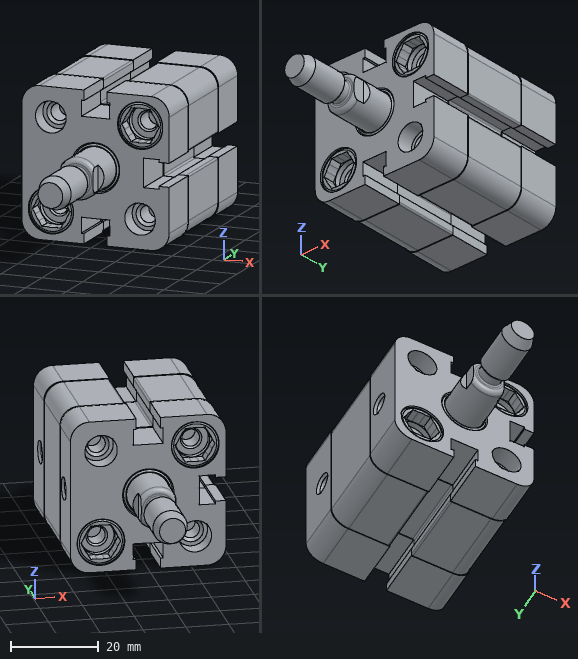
import cadquery as cq
import math


cap_width = 36.3
corner_radius = 4.45
cap_length = 11.8
tube_inset = 0.175
tube_width = cap_width - 2 * tube_inset
tube_length = 18.4
tube_front = cap_length
tube_rear = tube_front + tube_length
housing_length = tube_rear + cap_length

slot_angles = (0, 90, 180)
slot_opening = 5.65
slot_inner_width = 6.95
slot_lip = 2.5
slot_depth = 6.25
tube_slot_floor_rise = 0.2
tube_slot_radius = 0.4

cylinder_bore = 20.0
cap_recess = 14.0
front_recess_depth = 6.95
rear_recess_depth = 5.9
seal_mouth = 12.0
seal_bore = 11.4
seal_lip = 10.5

port_offset = 7.6
port_diameter = 4.1
port_mouth = 5.35
port_depth = 11.35

corner_offset = 11.0
thread_hole = 4.1
thread_end = 10.45
plain_hole = 7.5
plain_hole_depth = 4.5
plain_hole_countersink = 5.6

head_counterbore = 11.1
head_diameter = 10.9
head_top = 10.0
head_recess = 0.3
head_bevel_depth = 0.2
socket_corners = 9.25
socket_relief = 8.2
socket_depth = 3.5
socket_bore = 8.0
socket_bore_depth = 4.95
socket_countersink = 5.0

rod_diameter = 10.0
rod_shoulder = 11.55
rod_edge_radius = 1.25
neck_diameter = 5.8
neck_fillet = 0.35
neck_cone_fillet = 0.4
neck_cone_angle = 60
neck_end = 13.85
stud_diameter = 8.0
stud_tip_diameter = 6.05
stud_tip_start = 24.8
stud_tip = 27.55
flat_width = 8.0
flat_length = 3.35
piston_length = 8.0
boss_diameter = 13.85


def cylinder_along_y(diameter, start, end):
    """Solid cylinder on the Y axis between two Y positions."""
    return cq.Workplane("XZ", origin=(0, start, 0)).circle(diameter / 2).extrude(start - end)


def cone_along_y(start_diameter, end_diameter, start, end):
    """Solid cone frustum on the Y axis between two Y positions."""
    cone = cq.Solid.makeCone(
        start_diameter / 2, end_diameter / 2, end - start, cq.Vector(0, start, 0), cq.Vector(0, 1, 0)
    )
    return cq.Workplane(cone)


def rounded_block(width, start, length):
    """Square block along Y with rounded long edges."""
    block = cq.Workplane("XY").box(width, length, width).edges("|Y").fillet(corner_radius)
    return block.translate((0, start + length / 2, 0))


def t_slot(outer, floor, start, length):
    """Cutter for one T-slot that opens towards +Z."""
    inner_top = cap_width / 2 - slot_lip
    opening = cq.Workplane("XY").box(slot_opening, length, outer - floor)
    opening = opening.translate((0, start + length / 2, (outer + floor) / 2))
    inner = cq.Workplane("XY").box(slot_inner_width, length, inner_top - floor)
    inner = inner.translate((0, start + length / 2, (inner_top + floor) / 2))
    return opening, inner


def cut_slots(block, cutter):
    """Cut the T-slot into each of the slotted sides."""
    for angle in slot_angles:
        block = block.cut(cutter.rotate((0, 0, 0), (0, 1, 0), angle))
    return block


def cap_blank(start):
    """Cap outline with its T-slots."""
    opening, inner = t_slot(cap_width / 2, cap_width / 2 - slot_depth, start, cap_length)
    return cut_slots(rounded_block(cap_width, start, cap_length), opening.union(inner))


def port(y):
    """Cutter for an air port with a 45 degree mouth in the -X side."""
    mouth_depth = (port_mouth - port_diameter) / 2
    outline = [
        (0, 0),
        (port_mouth / 2, 0),
        (port_diameter / 2, mouth_depth),
        (port_diameter / 2, port_depth),
        (0, port_depth),
    ]
    hole = cq.Workplane("XY").polyline(outline).close().revolve(360, (0, 0, 0), (0, 1, 0))
    return hole.rotate((0, 0, 0), (0, 0, 1), -90).translate((-cap_width / 2, y, 0))


def threaded_hole(countersink, floor):
    """Cutter for a thread hole with a 45 degree countersink, starting at a floor."""
    countersink_depth = (countersink - thread_hole) / 2
    mouth = cone_along_y(countersink, thread_hole, floor, floor + countersink_depth)
    return mouth.union(cylinder_along_y(thread_hole, floor, thread_end))


def plain_corner_hole():
    """Cutter for a counterbored thread hole."""
    hole = cylinder_along_y(plain_hole, 0, plain_hole_depth)
    return hole.union(threaded_hole(plain_hole_countersink, plain_hole_depth))


def screw_head_recess():
    """Cutter for the bevelled rim, hexagon socket and thread hole of a sunken screw head."""
    bevel_end = head_recess + head_bevel_depth
    rim = cylinder_along_y(head_counterbore, 0, bevel_end)
    rim = rim.cut(cone_along_y(head_top, head_diameter, head_recess, bevel_end))
    hexagon = cq.Workplane("XZ").polygon(6, socket_corners).extrude(-socket_depth)
    socket = hexagon.union(cylinder_along_y(socket_relief, 0, socket_depth))
    socket = socket.union(cylinder_along_y(socket_bore, 0, socket_bore_depth))
    return rim.union(socket).union(threaded_hole(socket_countersink, socket_bore_depth))


def seal_groove():
    """Cutter for the V-groove and the inner bevel that leave a sharp sealing lip around the rod."""
    outer_depth = (seal_mouth - seal_bore) / 2
    groove = cone_along_y(seal_mouth, seal_bore, 0, outer_depth)
    groove = groove.cut(cone_along_y(seal_lip, seal_bore, 0, outer_depth))
    return groove.union(cone_along_y(seal_lip, rod_diameter, 0, (seal_lip - rod_diameter) / 2))


def make_front_cap():
    cap = cap_blank(0)
    cap = cap.cut(cylinder_along_y(rod_diameter, 0, cap_length))
    cap = cap.cut(cylinder_along_y(cap_recess, cap_length - front_recess_depth, cap_length))
    cap = cap.cut(seal_groove())
    cap = cap.cut(port(port_offset))
    for side in (-1, 1):
        cap = cap.cut(screw_head_recess().translate((side * corner_offset, 0, side * corner_offset)))
        cap = cap.cut(plain_corner_hole().translate((side * corner_offset, 0, -side * corner_offset)))
    return cap


def slot_mouth_edge(side, angle):
    """Selector for the outer edge of one slot lip, on either side of the slot."""
    mouth = cq.Vector(side * slot_opening / 2, tube_front + tube_length / 2, tube_width / 2)
    turn = cq.Plane.XY().rotated((0, angle, 0))
    return cq.selectors.NearestToPointSelector(turn.toWorldCoords(mouth).toTuple())


def make_tube():
    floor = cap_width / 2 - slot_depth + tube_slot_floor_rise
    opening, inner = t_slot(tube_width / 2, floor, tube_front, tube_length)
    inner = inner.edges("|Y and <Z").fillet(tube_slot_radius)
    opening = opening.translate((0, 0, tube_slot_radius))
    tube = rounded_block(tube_width, tube_front, tube_length)
    tube = cut_slots(tube, opening.union(inner))
    for angle in slot_angles:
        for side in (-1, 1):
            tube = tube.edges(slot_mouth_edge(side, angle)).fillet(tube_slot_radius)
    return tube.cut(cylinder_along_y(cylinder_bore, tube_front, tube_rear))


def make_rear_cap():
    cap = cap_blank(tube_rear)
    cap = cap.cut(cylinder_along_y(cap_recess, tube_rear, tube_rear + rear_recess_depth))
    return cap.cut(port(housing_length - port_offset))


def wrench_flat(side):
    """Cutter for a flat with a 45 degree run-out, on the +X or -X side of the rod."""
    inner = flat_width / 2
    outer = rod_diameter / 2
    run_out = outer - inner
    outline = [
        (side * inner, -rod_shoulder),
        (side * outer, -rod_shoulder),
        (side * outer, -rod_shoulder + flat_length + run_out),
        (side * inner, -rod_shoulder + flat_length),
    ]
    return cq.Workplane("XY").polyline(outline).close().extrude(outer, both=True)


def make_piston_rod():
    rod_radius = rod_diameter / 2
    neck_radius = neck_diameter / 2
    cone_slope = math.radians(neck_cone_angle)
    cone_foot = neck_end + neck_cone_fillet * math.sin(cone_slope)
    cone_foot_radius = neck_radius + neck_cone_fillet * (1 - math.cos(cone_slope))
    stud_start = cone_foot + (stud_diameter / 2 - cone_foot_radius) / math.tan(cone_slope)
    piston_front = tube_rear - piston_length
    boss_end = tube_rear + rear_recess_depth
    arc_middle = rod_edge_radius * (1 - math.sqrt(0.5))
    profile = (
        cq.Workplane("XY")
        .moveTo(0, -stud_tip)
        .lineTo(stud_tip_diameter / 2, -stud_tip)
        .lineTo(stud_diameter / 2, -stud_tip_start)
        .lineTo(stud_diameter / 2, -stud_start)
        .lineTo(cone_foot_radius, -cone_foot)
        .radiusArc((neck_radius, -neck_end), neck_cone_fillet)
        .lineTo(neck_radius, -rod_shoulder - neck_fillet)
        .radiusArc((neck_radius + neck_fillet, -rod_shoulder), neck_fillet)
        .lineTo(rod_radius - rod_edge_radius, -rod_shoulder)
        .threePointArc(
            (rod_radius - arc_middle, -rod_shoulder + arc_middle),
            (rod_radius, -rod_shoulder + rod_edge_radius),
        )
        .lineTo(rod_radius, piston_front)
        .lineTo(cylinder_bore / 2, piston_front)
        .lineTo(cylinder_bore / 2, tube_rear)
        .lineTo(boss_diameter / 2, tube_rear)
        .lineTo(boss_diameter / 2, boss_end)
        .lineTo(0, boss_end)
        .close()
    )
    rod = profile.revolve(360, (0, 0, 0), (0, 1, 0))
    for side in (-1, 1):
        rod = rod.cut(wrench_flat(side))
    return rod


front_cap = make_front_cap().solids()
tube = make_tube().solids()
rear_cap = make_rear_cap().solids()
piston_rod = make_piston_rod().solids()

result = cq.Compound.makeCompound([front_cap.val(), tube.val(), rear_cap.val(), piston_rod.val()])